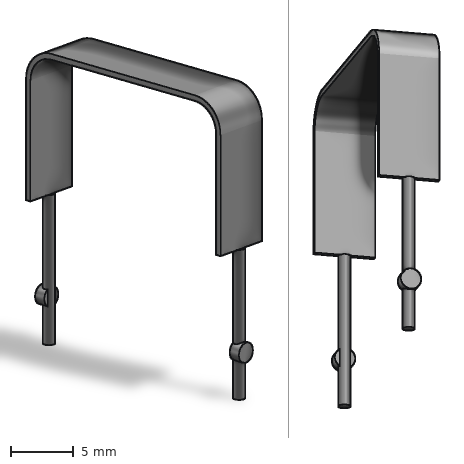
import cadquery as cq

total_height = 25.65
total_length = 21.8
strap_width = 5.0

strap_length = 20.8
strap_thickness = 0.5
bend_radius = 2.75

pin_diameter = 1.0
pin_height = 12.67
peg_diameter = 1.7
peg_length = 1.0
peg_height = 4.0


def rounded_block(length, top, radius):
    """Block standing on the pin tops, with its two upper edges rounded."""
    return (
        cq.Workplane("XY", origin=(0, 0, pin_height))
        .box(length, strap_width, top - pin_height, centered=(True, True, False))
        .edges("|Y and >Z")
        .fillet(radius)
    )


def make_strap():
    """Inverted U of constant thickness with concentric bends."""
    outer = rounded_block(strap_length, total_height, bend_radius)
    inner = rounded_block(
        strap_length - 2 * strap_thickness,
        total_height - strap_thickness,
        bend_radius - strap_thickness,
    )
    return outer.cut(inner)


def make_pin(side):
    """Round pin centred below one leg, with its outward-facing peg."""
    leg_center = side * (strap_length - strap_thickness) / 2
    pin = (
        cq.Workplane("XY", origin=(leg_center, 0, 0))
        .circle(pin_diameter / 2)
        .extrude(pin_height)
    )
    peg = (
        cq.Workplane("YZ", origin=(side * total_length / 2, 0, peg_height))
        .circle(peg_diameter / 2)
        .extrude(-side * peg_length)
    )
    return pin.union(peg)


result = make_strap()
for side in (-1, 1):
    result = result.union(make_pin(side))